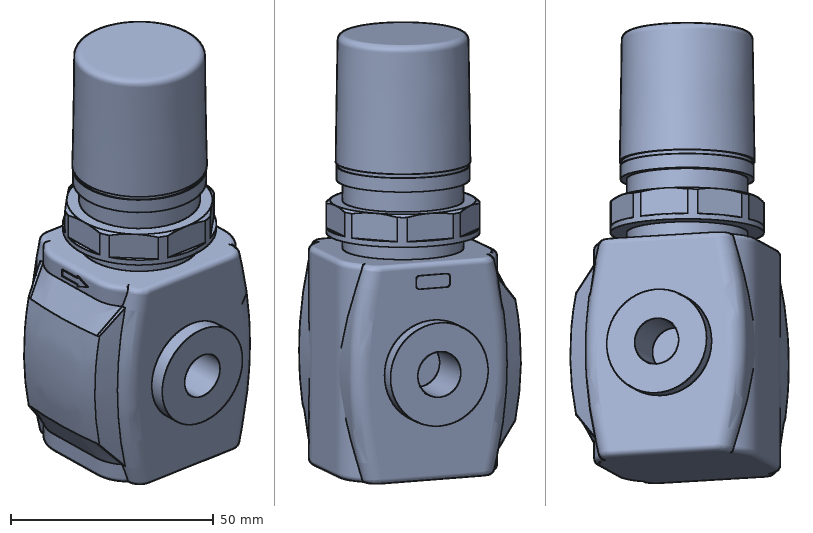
import cadquery as cq
import math


WIDTH = 40.0
HALF_DEPTH = 21.0
HALF_HEIGHT = 27.5
EDGE_FILLET = 1.4

BELT_Z = 22.2
POST_HALF_DEPTH = 20.9
POST_BULGE_RADIUS = 100.0
POST_CORNER_RADIUS = 3.8
POST_INNER_X = WIDTH / 2 - POST_CORNER_RADIUS

PLATE_FLAT_HALF = 8.2
PLATE_EDGE_Y = 17.3

BULGE_REACH = 26.82
BULGE_HALF_WIDTH = 13.55
BULGE_SIDE_Y = 26.0
BULGE_FACE_SAG = 1.5
FACE_HALF_HEIGHT = 15.1
SHOULDER_MIDDLE_HALF = 6.8
SHOULDER_ARC_END_X = 12.7
BELT_ARC_END_X = 15.1
SHOULDER_OVERRUN = 1.4

PORT_DIAMETER = 26.0
PORT_SPAN = 48.0
BORE_DIAMETER = 11.45
BORE_DEPTH = 14.0

NECK_DIAMETER = 30.0
NUT_BOTTOM = 31.4
NUT_TOP = 39.5
NUT_DIAMETER = 38.0
NUT_SIDES = 8
NUT_ACROSS_FLATS = 36.0
NUT_FLANGE = 1.4
NUT_CHAMFER_WIDTH = 1.0
NUT_CHAMFER_HEIGHT = 0.6

KNOB_BOTTOM = 44.8
KNOB_TOP = 81.5
RING_DIAMETER = 33.0
RING_HEIGHT = 3.5
GROOVE_DIAMETER = 32.4
GROOVE_HEIGHT = 1.0
KNOB_BASE_DIAMETER = 33.4
KNOB_TOP_DIAMETER = 32.4
KNOB_FILLET = 1.75

MARK_DEPTH = 0.2
ARROW_Z = 24.3
ARROW_LENGTH = 9.8
ARROW_HEAD_LENGTH = 4.0
ARROW_HEAD_HALF = 1.5
ARROW_SHAFT_HALF = 0.9
LABEL_Z = 22.7
LABEL_LENGTH = 9.0
LABEL_HEIGHT = 3.4
LABEL_CORNER = 0.9


def post_depth(z):
    """Half depth of the posts at height z, within the belts."""
    drop = POST_BULGE_RADIUS - math.sqrt(POST_BULGE_RADIUS**2 - z**2)
    return POST_HALF_DEPTH - drop


def make_posts():
    belt_y = post_depth(BELT_Z)
    end_slope = math.tan(math.asin(BELT_Z / POST_BULGE_RADIUS))
    end_y = belt_y - end_slope * (HALF_HEIGHT - BELT_Z)
    posts = (
        cq.Workplane("YZ")
        .moveTo(-end_y, -HALF_HEIGHT)
        .lineTo(end_y, -HALF_HEIGHT)
        .lineTo(belt_y, -BELT_Z)
        .threePointArc((POST_HALF_DEPTH, 0), (belt_y, BELT_Z))
        .lineTo(end_y, HALF_HEIGHT)
        .lineTo(-end_y, HALF_HEIGHT)
        .lineTo(-belt_y, BELT_Z)
        .threePointArc((-POST_HALF_DEPTH, 0), (-belt_y, -BELT_Z))
        .close()
        .extrude(WIDTH / 2, both=True)
    )
    corner_edges = posts.faces("<X or >X").edges("not #Z")
    return corner_edges.fillet(POST_CORNER_RADIUS).faces("<Z or >Z").edges().fillet(EDGE_FILLET)


def arc_middle(radius, tangent_x, tangent_y, end_x):
    """Point halfway along an arc that leaves a line y = tangent_y and bends back to end_x."""
    angle = math.asin((end_x - tangent_x) / radius) / 2
    return (tangent_x + radius * math.sin(angle), tangent_y - radius * (1 - math.cos(angle)))


def bend_radius(run, drop):
    """Radius of an arc that leaves a line tangentially and drops by `drop` over `run`."""
    return (run**2 + drop**2) / (2 * drop)


PLATE_ARC_RADIUS = bend_radius(POST_INNER_X - PLATE_FLAT_HALF, HALF_DEPTH - PLATE_EDGE_Y)


def make_plates():
    mid_x, mid_y = arc_middle(PLATE_ARC_RADIUS, PLATE_FLAT_HALF, HALF_DEPTH, POST_INNER_X)
    plates = (
        cq.Workplane("XY", origin=(0, 0, -HALF_HEIGHT))
        .moveTo(-PLATE_FLAT_HALF, -HALF_DEPTH)
        .lineTo(PLATE_FLAT_HALF, -HALF_DEPTH)
        .threePointArc((mid_x, -mid_y), (POST_INNER_X, -PLATE_EDGE_Y))
        .lineTo(POST_INNER_X, PLATE_EDGE_Y)
        .threePointArc((mid_x, mid_y), (PLATE_FLAT_HALF, HALF_DEPTH))
        .lineTo(-PLATE_FLAT_HALF, HALF_DEPTH)
        .threePointArc((-mid_x, mid_y), (-POST_INNER_X, PLATE_EDGE_Y))
        .lineTo(-POST_INNER_X, -PLATE_EDGE_Y)
        .threePointArc((-mid_x, -mid_y), (-PLATE_FLAT_HALF, -HALF_DEPTH))
        .close()
        .extrude(2 * HALF_HEIGHT)
    )
    return plates.faces("<Z or >Z").edges().fillet(EDGE_FILLET)


def blend(start, end, share):
    return tuple(a + (b - a) * share for a, b in zip(start, end))


def face_edge_point(x):
    """Point of the crowned face's top edge at x."""
    radius = bend_radius(BULGE_HALF_WIDTH, BULGE_REACH - BULGE_SIDE_Y)
    return (x, BULGE_REACH - BULGE_FACE_SAG - radius + math.sqrt(radius**2 - x**2))


def shoulder_wire(z, share):
    """Outline at a share of the way from the belt (0) to the edge of the face (1)."""
    belt_end = (BELT_ARC_END_X, post_depth(BELT_Z))
    belt_bend = bend_radius(BELT_ARC_END_X - PLATE_FLAT_HALF, HALF_DEPTH - belt_end[1])
    belt_mid = arc_middle(belt_bend, PLATE_FLAT_HALF, HALF_DEPTH, BELT_ARC_END_X)
    face_mid_x = (SHOULDER_MIDDLE_HALF + SHOULDER_ARC_END_X) / 2
    crown_y = blend((0, HALF_DEPTH), face_edge_point(0), share)[1]
    start_x, start_y = blend((PLATE_FLAT_HALF, HALF_DEPTH), face_edge_point(SHOULDER_MIDDLE_HALF), share)
    mid_x, mid_y = blend(belt_mid, face_edge_point(face_mid_x), share)
    end_x, end_y = blend(belt_end, face_edge_point(SHOULDER_ARC_END_X), share)
    outline = (
        cq.Workplane("XY", origin=(0, 0, z))
        .moveTo(-WIDTH / 2, 0)
        .lineTo(-WIDTH / 2, -end_y)
        .lineTo(-end_x, -end_y)
        .threePointArc((-mid_x, -mid_y), (-start_x, -start_y))
    )
    if share == 0:
        outline = outline.lineTo(start_x, -start_y)
    else:
        outline = outline.threePointArc((0, -crown_y), (start_x, -start_y))
    outline = (
        outline.threePointArc((mid_x, -mid_y), (end_x, -end_y))
        .lineTo(WIDTH / 2, -end_y)
        .lineTo(WIDTH / 2, 0)
        .close()
    )
    return outline.val()


def bulge_wire(z):
    """Outline with sloped sides and a crowned face; both recede from mid height."""
    recede = BULGE_FACE_SAG * (z / FACE_HALF_HEIGHT) ** 2
    outline = (
        cq.Workplane("XY", origin=(0, 0, z))
        .moveTo(-POST_INNER_X, 0)
        .lineTo(-POST_INNER_X, -post_depth(z))
        .lineTo(-BULGE_HALF_WIDTH, -(BULGE_SIDE_Y - recede))
        .threePointArc((0, -(BULGE_REACH - recede)), (BULGE_HALF_WIDTH, -(BULGE_SIDE_Y - recede)))
        .lineTo(POST_INNER_X, -post_depth(z))
        .lineTo(POST_INNER_X, 0)
        .close()
    )
    return outline.val()


def make_bulge():
    body = cq.Solid.makeLoft([bulge_wire(z) for z in (-BELT_Z, 0, BELT_Z)])
    overrun_z = BELT_Z - SHOULDER_OVERRUN * (BELT_Z - FACE_HALF_HEIGHT)
    sections = [(-BELT_Z, 0), (-overrun_z, SHOULDER_OVERRUN), (overrun_z, SHOULDER_OVERRUN), (BELT_Z, 0)]
    shoulders = cq.Solid.makeLoft([shoulder_wire(z, share) for z, share in sections], True)
    return cq.Workplane(body).intersect(cq.Workplane(shoulders))


def make_port(side):
    return cq.Workplane("YZ").circle(PORT_DIAMETER / 2).extrude(side * PORT_SPAN / 2)


def make_bore(side):
    bore = cq.Workplane("YZ", origin=(side * PORT_SPAN / 2, 0, 0))
    return bore.circle(BORE_DIAMETER / 2).extrude(-side * BORE_DEPTH)


def make_neck():
    neck = cq.Workplane("XY", origin=(0, 0, HALF_HEIGHT - EDGE_FILLET))
    return neck.circle(NECK_DIAMETER / 2).extrude(KNOB_BOTTOM - HALF_HEIGHT + EDGE_FILLET)


def make_nut():
    radius = NUT_DIAMETER / 2
    blank = (
        cq.Workplane("XZ")
        .moveTo(0, NUT_BOTTOM)
        .lineTo(radius, NUT_BOTTOM)
        .lineTo(radius, NUT_TOP - NUT_CHAMFER_HEIGHT)
        .lineTo(radius - NUT_CHAMFER_WIDTH, NUT_TOP)
        .lineTo(0, NUT_TOP)
        .close()
        .revolve(360, (0, 0), (0, 1))
    )
    octagon_diameter = NUT_ACROSS_FLATS / math.cos(math.pi / NUT_SIDES)
    flats = (
        cq.Workplane("XY", origin=(0, 0, NUT_BOTTOM + NUT_FLANGE))
        .polygon(NUT_SIDES, octagon_diameter)
        .extrude(NUT_TOP - NUT_BOTTOM)
        .rotate((0, 0, 0), (0, 0, 1), 180 / NUT_SIDES)
    )
    flange = cq.Workplane("XY", origin=(0, 0, NUT_BOTTOM)).circle(radius).extrude(NUT_FLANGE)
    return blank.intersect(flats.union(flange))


def make_arrow():
    left = -ARROW_LENGTH / 2
    tip = ARROW_LENGTH / 2
    head = tip - ARROW_HEAD_LENGTH
    return (
        cq.Workplane("XZ", origin=(0, -HALF_DEPTH, ARROW_Z))
        .moveTo(left, -ARROW_SHAFT_HALF)
        .lineTo(head, -ARROW_SHAFT_HALF)
        .lineTo(head, -ARROW_HEAD_HALF)
        .lineTo(tip, 0)
        .lineTo(head, ARROW_HEAD_HALF)
        .lineTo(head, ARROW_SHAFT_HALF)
        .lineTo(left, ARROW_SHAFT_HALF)
        .close()
        .extrude(-MARK_DEPTH)
    )


def make_label():
    label = cq.Workplane("YZ", origin=(-WIDTH / 2, 0, LABEL_Z)).rect(LABEL_LENGTH, LABEL_HEIGHT)
    return label.extrude(MARK_DEPTH).edges("|X").fillet(LABEL_CORNER)


def make_housing():
    housing = make_posts().union(make_plates()).union(make_bulge())
    housing = housing.union(make_neck()).union(make_nut())
    for side in (-1, 1):
        housing = housing.union(make_port(side)).cut(make_bore(side))
    return housing.cut(make_arrow()).cut(make_label())


def make_knob():
    ring_top = KNOB_BOTTOM + RING_HEIGHT
    groove_top = ring_top + GROOVE_HEIGHT
    knob = (
        cq.Workplane("XZ")
        .moveTo(0, KNOB_BOTTOM)
        .lineTo(RING_DIAMETER / 2, KNOB_BOTTOM)
        .lineTo(RING_DIAMETER / 2, ring_top)
        .lineTo(GROOVE_DIAMETER / 2, ring_top)
        .lineTo(GROOVE_DIAMETER / 2, groove_top)
        .lineTo(KNOB_BASE_DIAMETER / 2, groove_top)
        .lineTo(KNOB_TOP_DIAMETER / 2, KNOB_TOP)
        .lineTo(0, KNOB_TOP)
        .close()
        .revolve(360, (0, 0), (0, 1))
    )
    return knob.faces(">Z").edges().fillet(KNOB_FILLET)


housing = make_housing()
knob = make_knob()
result = cq.Compound.makeCompound([housing.val(), knob.val()])